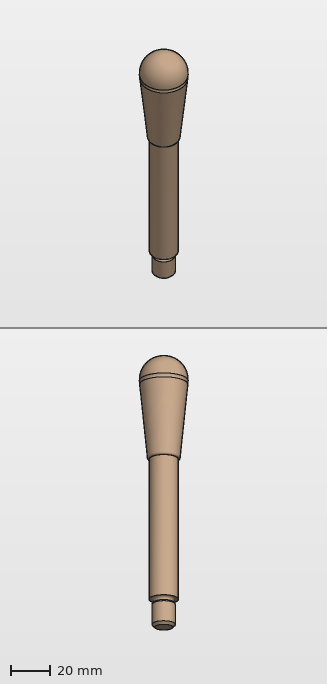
import cadquery as cq
import math

total_length = 145.0
ball_radius = 25.0 / 2
grip_top_radius = 24.6 / 2
grip_bottom_radius = 16.8 / 2
shaft_radius = 15.0 / 2
stud_radius = 12.0 / 2
neck_radius = 10.0 / 2
stud_tip_radius = 9.1 / 2

stud_top = 12.2
shoulder_height = 15.0
grip_bottom = 90.0
grip_top = 130.0
ball_bottom = 132.1

neck_fillet = 1.5
grip_edge_radius = 1.0
groove_depth = 0.3

tip_chamfer = stud_radius - stud_tip_radius
neck_chamfer = stud_radius - neck_radius
ball_center = total_length - ball_radius
ball_rim_radius = math.sqrt(ball_radius**2 - (ball_center - ball_bottom) ** 2)
groove_mid_height = (grip_top + ball_bottom) / 2
groove_mid_radius = grip_top_radius - groove_depth
diagonal = math.sqrt(0.5)


def make_stud_and_shaft():
    """Chamfered stud, relieved neck with a filleted shoulder, and plain shaft."""
    fillet_center_radius = neck_radius + neck_fillet
    fillet_center_height = shoulder_height - neck_fillet
    fillet_mid = (
        fillet_center_radius - neck_fillet * diagonal,
        fillet_center_height + neck_fillet * diagonal,
    )
    return (
        cq.Workplane("XZ")
        .lineTo(stud_tip_radius, 0)
        .lineTo(stud_radius, tip_chamfer)
        .lineTo(stud_radius, stud_top)
        .lineTo(neck_radius, stud_top + neck_chamfer)
        .lineTo(neck_radius, fillet_center_height)
        .threePointArc(fillet_mid, (fillet_center_radius, shoulder_height))
        .lineTo(shaft_radius, shoulder_height)
        .lineTo(shaft_radius, grip_bottom)
        .lineTo(0, grip_bottom)
        .close()
        .revolve(360, (0, 0), (0, 1))
    )


def make_grip():
    """Tapered grip with a rounded lower edge, a shallow groove and a ball end."""
    edge_center_radius = grip_bottom_radius - grip_edge_radius
    edge_center_height = grip_bottom + grip_edge_radius
    edge_mid = (
        edge_center_radius + grip_edge_radius * diagonal,
        edge_center_height - grip_edge_radius * diagonal,
    )
    ball_mid = (ball_radius * diagonal, ball_center + ball_radius * diagonal)
    return (
        cq.Workplane("XZ")
        .moveTo(0, grip_bottom)
        .lineTo(edge_center_radius, grip_bottom)
        .threePointArc(edge_mid, (grip_bottom_radius, edge_center_height))
        .lineTo(grip_top_radius, grip_top)
        .threePointArc((groove_mid_radius, groove_mid_height), (ball_rim_radius, ball_bottom))
        .threePointArc(ball_mid, (0, total_length))
        .close()
        .revolve(360, (0, 0), (0, 1))
    )


result = make_stud_and_shaft().union(make_grip())